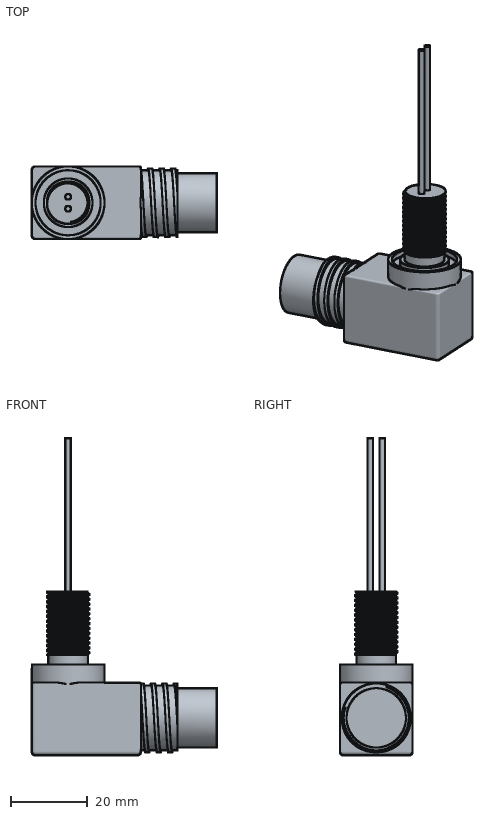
import cadquery as cq
block_length = 28.5
block_width = 19.0
block_height = 19.0
block_round = 1.0
block_small_round = 0.5

stem_x = block_width / 2
collar_diameter = block_width
collar_bore = 17.0
collar_height = 4.75
collar_groove_depth = 1.5
boss_diameter = 12.7
neck_diameter = 10.42
neck_height = 2.5

stem_top = 42.8
stem_root_diameter = 10.1
stem_major_diameter = 11.11
stem_pitch = 1.27
stem_tooth_base = 0.9
stem_tooth_crest = 0.16
stem_helix_start = 25.5

wire_diameter = 1.5
wire_spacing = 3.1
wire_length = 40.0

coupling_z = 9.8
coupling_diameter = 17.0
coupling_end = 38.0
coupling_pitch = 3.0
coupling_ridge_width = 1.0
coupling_ridge_height = 0.5
coupling_helix_start = 27.15
barrel_diameter = 15.5
barrel_end = 48.3

ridge_overlap = 0.15

collar_top = block_height + collar_height
neck_top = collar_top + neck_height


def cylinder(diameter, bottom, top):
    """Upright cylinder on the Z axis."""
    return cq.Workplane("XY").workplane(offset=bottom).circle(diameter / 2).extrude(top - bottom)


def helical_ridge(core_diameter, height, base_width, crest_width, pitch, start, end):
    """Right-handed ridge around Z; its centre is on the +X side at Z = start."""
    core_radius = core_diameter / 2
    crest_radius = core_radius + height
    root_radius = core_radius - ridge_overlap
    root_width = base_width + (base_width - crest_width) * ridge_overlap / height
    path = cq.Workplane(cq.Wire.makeHelix(pitch, end - start, core_radius)).translate((0, 0, start))
    profile = (
        cq.Workplane("XZ")
        .moveTo(root_radius, start - root_width / 2)
        .lineTo(crest_radius, start - crest_width / 2)
        .lineTo(crest_radius, start + crest_width / 2)
        .lineTo(root_radius, start + root_width / 2)
        .close()
    )
    return profile.sweep(path, isFrenet=True)


def make_block():
    block = cq.Workplane("XY").box(block_length, block_width, block_height, centered=(False, True, False))
    block = block.edges("<Z or (|Z and <X)").fillet(block_round)
    return block.edges(">Z or >X").fillet(block_small_round)


def make_collar():
    collar = cylinder(collar_diameter, block_height - block_round, collar_top)
    groove_floor = collar_top - collar_groove_depth
    groove = cylinder(collar_bore, groove_floor, collar_top).cut(
        cylinder(boss_diameter, groove_floor, collar_top)
    )
    return collar.cut(groove)


def make_stem():
    neck = cylinder(neck_diameter, collar_top, neck_top)
    core = cylinder(stem_root_diameter, neck_top, stem_top)
    thread = helical_ridge(
        stem_root_diameter,
        (stem_major_diameter - stem_root_diameter) / 2,
        stem_tooth_base,
        stem_tooth_crest,
        stem_pitch,
        stem_helix_start,
        stem_top + stem_pitch,
    )
    thread = thread.intersect(cylinder(2 * stem_major_diameter, neck_top, stem_top))
    return neck.union(core.union(thread))


def make_wires():
    return (
        cq.Workplane("XY")
        .workplane(offset=stem_top)
        .pushPoints([(0, -wire_spacing / 2), (0, wire_spacing / 2)])
        .circle(wire_diameter / 2)
        .extrude(wire_length)
    )


def make_coupling():
    """Coupling and barrel built along Z, then laid down so that Z becomes X."""
    inner_end = block_length - block_round
    core = cylinder(coupling_diameter, inner_end, coupling_end)
    ridge = helical_ridge(
        coupling_diameter,
        coupling_ridge_height,
        coupling_ridge_width,
        coupling_ridge_width,
        coupling_pitch,
        coupling_helix_start,
        coupling_end + coupling_pitch,
    )
    ridge = ridge.intersect(cylinder(2 * coupling_diameter, inner_end, coupling_end))
    barrel = cylinder(barrel_diameter, coupling_end, barrel_end)
    coupling = core.union(ridge).union(barrel)
    return coupling.rotate((0, 0, 0), (0, 1, 0), 90).translate((0, 0, coupling_z))


stem_assembly = make_collar().union(make_stem()).union(make_wires()).translate((stem_x, 0, 0))
result = make_block().union(stem_assembly).union(make_coupling())